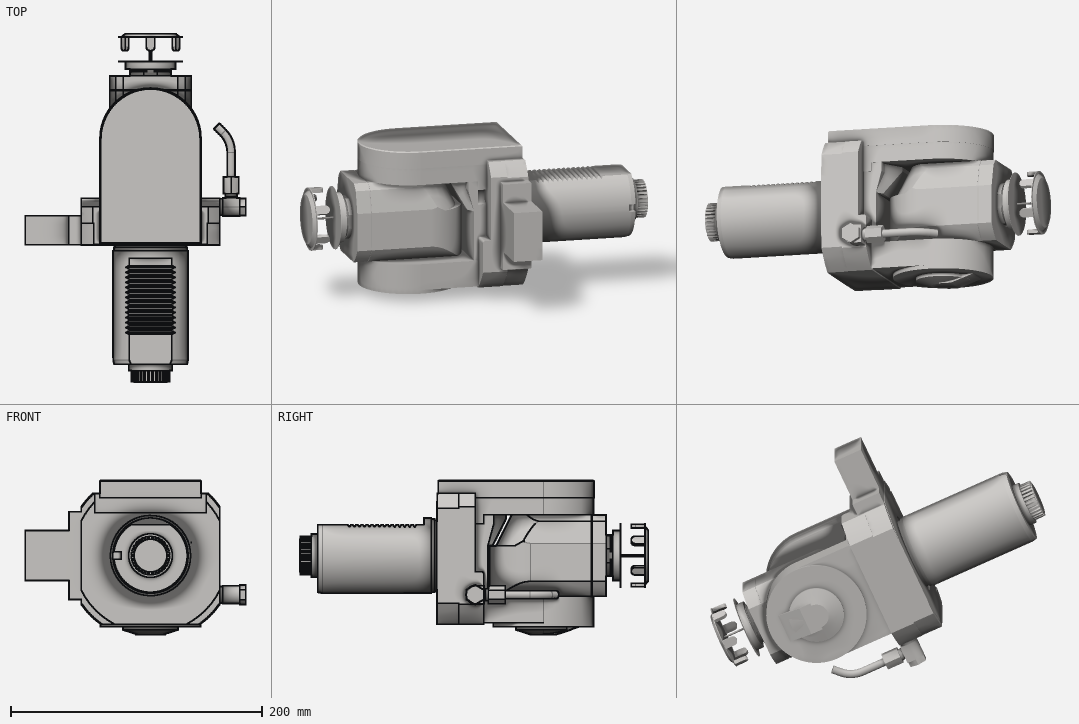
import cadquery as cq
import math


SHANK_D = 60.0
NECK_D = 58.6
NECK_L = 4.2
SEAL_GROOVE_D = 56.7
SEAL_GROOVE_L = 1.7
SHANK_L = 94.8
SHANK_CHAMFER_L = 3.5
SHANK_CHAMFER_R = 0.8
RACK_FLAT_Z = 24.7
RACK_FLAT_START = 10.3
GROOVE_COUNT = 14
GROOVE_START = 17.5
GROOVE_SPAN = 52.0
GROOVE_PITCH = GROOVE_SPAN / (GROOVE_COUNT - 1)
GROOVE_W = 2.8
GROOVE_DEPTH = 2.0
NOTCH_W = 6.0
NOTCH_DEPTH = 6.7
NOTCH_L = 5.5
HUB_D = 34.7
HUB_L = 5.0
SPLINE_D = 30.5
SPLINE_L = 9.5
SPLINE_COUNT = 30
SPLINE_CORE_D = 26.0
SPLINE_TOOTH_W = 1.7
SPLINE_END_GAP = 0.5

FLANGE_X = 55.3
FLANGE_TOP = 49.5
FLANGE_BOTTOM = -54.7
FLANGE_T = 30.8
LEDGE_T = 37.5
LEDGE_TOP = -12.8
LEDGE_FILLET = 2.0
CORNER_R = 67.5
CORNER_STEP = 0.5
CORNER_STEP_Y = 17.5
RIM_R = 61.7
RIM_RELIEF = 0.3
SEAT_D = 64.0
SEAT_DEPTH = 1.5

BAR_FRONT = 0.3
BAR_BACK = 23.5
BAR_END_X = -99.8
BAR_H = 40.0
PLATE_X = -65.0
PLATE_H = 70.0

PIVOT_Y = 85.0
YOKE_R = 40.0
COVER_R = 40.3
COVER_FRONT = 1.0
COVER_TOP = 60.0
COVER_BOTTOM = 46.0
COVER_CHAMFER = 0.8
FOOT_W = 89.0
FOOT_BOTTOM = 34.2
FOOT_RECESS = 0.8
WALL_W = 79.0
WALL_Y = 40.9
WALL_LIP_Y = 45.5
WALL_LIP_Z = 25.5
WEDGE_Y = 55.3
WEDGE_LIP_Z = 29.2
WEDGE_TIP_W = 27.8
WEDGE_BOTTOM = 8.0
WEDGE_BOTTOM_Y = 44.7
CHANNEL_D = 12.0
CHANNEL_Z = 19.5
LOWER_BLOCK_BOTTOM = -53.5
LOWER_DISC_BOTTOM = -56.7
LENS_R = 22.0
LENS_RIM_T = 2.5
LENS_FLAT_R = 9.7
LENS_BOTTOM = -63.0
RAMP_END_Y = 113.5
RAMP_W = 23.3

HEAD_HALF = 32.5
HEAD_BACK = 135.0
NOSE_CENTRE_OFFSET = 10.5
NOSE_Y = PIVOT_Y - NOSE_CENTRE_OFFSET
HEAD_CORNER_X = 20.5
FACET_TOP_X = 21.7
FACET_MID = 27.5
FACET_LOW_Z = 10.0
JOINT_Y = 123.0
JOINT_W = 0.8
JOINT_DEPTH = 0.3
CONE_LEDGE_Z = 7.8
CONE_LEDGE_Y = 47.2
CONE_TOP_Y = 59.8

NUT_NECK_D = 34.7
NUT_NECK_L = 5.3
NUT_D = 40.0
NUT_L = 5.8
NUT_SLOT_COUNT = 4
NUT_SLOT_W = 11.0
NUT_SLOT_FLOOR = 15.8
NUT_GROOVE_D = 32.2
NUT_GROOVE_START = 138.0
NUT_GROOVE_L = 1.5
DISC_D = 50.5
DISC_T = 0.3
CAP_END = 168.7
CAP_T = 3.0
CAP_END_D = 40.0
CAP_D = 47.2
CAP_RIM_T = 0.5
PRONG_COUNT = 6
PRONG_W = 7.0
PRONG_INNER_R = 22.0
PRONG_OUTER_R = 25.0
PRONG_TIP = 154.8
TIE_ROD_D = 1.7

FITTING_Y = 30.5
FITTING_Z = -31.0
FITTING_D = 14.5
FITTING_COLLAR_D = 13.3
FITTING_ROOT = 2.8
FITTING_COLLAR_END = 57.5
FITTING_BODY_END = 71.1
FITTING_END = 76.0
FITTING_HEX = 13.5
NOZZLE_X = 64.2
NOZZLE_NECK_D = 8.3
NOZZLE_COLLAR_D = 9.7
NOZZLE_COLLAR_START = 39.0
NOZZLE_NUT_START = 41.0
NOZZLE_NUT_END = 54.5
NOZZLE_HEX = 12.2
PIPE_D = 6.5
PIPE_BEND_START = 74.2
PIPE_BEND_R = 22.2
PIPE_BEND_ANGLE = 45.0
PIPE_TIP_L = 7.2


def block(x0, x1, y0, y1, z0, z1):
    """Box given by its limits along each axis."""
    return cq.Workplane("XY").box(x1 - x0, y1 - y0, z1 - z0, centered=False).translate((x0, y0, z0))


def rod(diameter, y0, y1, x=0, z=0):
    """Cylinder along Y from y0 to y1."""
    plane = cq.Plane(origin=(x, y0, z), xDir=(1, 0, 0), normal=(0, 1, 0))
    return cq.Workplane(plane).circle(diameter / 2).extrude(y1 - y0)


def tongue(radius, y0, y_centre, z0, z1):
    """Plate with a half-round +Y end, centred on X = 0."""
    return (
        cq.Workplane("XY", origin=(0, 0, z0))
        .moveTo(-radius, y0)
        .lineTo(radius, y0)
        .lineTo(radius, y_centre)
        .threePointArc((0, y_centre + radius), (-radius, y_centre))
        .close()
        .extrude(z1 - z0)
    )


def side_profile(points, width):
    """Prism of a (Y, Z) outline, centred on X = 0."""
    return cq.Workplane("YZ").polyline(points).close().extrude(width / 2, both=True)


def make_shank():
    shank = rod(SEAL_GROOVE_D, SEAT_DEPTH, -SEAL_GROOVE_L)
    shank = shank.union(rod(NECK_D, -SEAL_GROOVE_L, -NECK_L))
    chamfer_start = SHANK_L - SHANK_CHAMFER_L
    radius = SHANK_D / 2
    body = (
        cq.Workplane("XY")
        .polyline([
            (0, -NECK_L), (radius, -NECK_L), (radius, -chamfer_start),
            (radius - SHANK_CHAMFER_R, -SHANK_L), (0, -SHANK_L),
        ])
        .close()
        .revolve(360, (0, 0, 0), (0, 1, 0))
    )
    body = body.cut(block(-radius, radius, -SHANK_L, -RACK_FLAT_START, RACK_FLAT_Z, radius))
    for i in range(GROOVE_COUNT):
        y = -GROOVE_START - i * GROOVE_PITCH
        body = body.cut(side_profile([
            (y - GROOVE_W / 2, RACK_FLAT_Z),
            (y + GROOVE_W / 2, RACK_FLAT_Z),
            (y, RACK_FLAT_Z - GROOVE_DEPTH),
        ], SHANK_D))
    body = body.cut(block(
        -radius, -radius + NOTCH_DEPTH, -SHANK_L, -SHANK_L + NOTCH_L, -NOTCH_W / 2, NOTCH_W / 2))
    return shank.union(body)


def make_spline():
    hub_end = -SHANK_L - HUB_L
    end = hub_end - SPLINE_L
    spline = rod(SPLINE_CORE_D, hub_end, end)
    tooth = block(
        -SPLINE_TOOTH_W / 2, SPLINE_TOOTH_W / 2, end + SPLINE_END_GAP, hub_end, 0, SPLINE_D / 2)
    for i in range(SPLINE_COUNT):
        spline = spline.union(tooth.rotate((0, 0, 0), (0, 1, 0), 360 * i / SPLINE_COUNT))
    return rod(HUB_D, -SHANK_L, hub_end).union(spline)


def make_flange():
    flange = side_profile([
        (0, FLANGE_BOTTOM), (LEDGE_T, FLANGE_BOTTOM), (LEDGE_T, LEDGE_TOP),
        (FLANGE_T, LEDGE_TOP), (FLANGE_T, FLANGE_TOP), (0, FLANGE_TOP),
    ], 2 * FLANGE_X)
    ledge_edge = cq.selectors.NearestToPointSelector((0, LEDGE_T, LEDGE_TOP))
    flange = flange.edges(ledge_edge).fillet(LEDGE_FILLET)
    corners = rod(2 * RIM_R, 0, RIM_RELIEF)
    corners = corners.union(rod(2 * (CORNER_R - CORNER_STEP), RIM_RELIEF, CORNER_STEP_Y))
    corners = corners.union(rod(2 * CORNER_R, CORNER_STEP_Y, LEDGE_T))
    flange = flange.intersect(corners)
    foot_recess = block(-FOOT_W / 2, FOOT_W / 2, 0, FOOT_RECESS, FOOT_BOTTOM, FLANGE_TOP)
    cover_seat = block(-COVER_R, COVER_R, 0, COVER_FRONT, COVER_BOTTOM, FLANGE_TOP)
    return flange.cut(foot_recess).cut(cover_seat).cut(rod(SEAT_D, 0, SEAT_DEPTH))


def make_locating_bar():
    plate = block(PLATE_X, -FLANGE_X, BAR_FRONT, BAR_BACK, -PLATE_H / 2, PLATE_H / 2)
    bar = block(BAR_END_X, PLATE_X, BAR_FRONT, BAR_BACK, -BAR_H / 2, BAR_H / 2)
    return plate.union(bar)


def make_yoke():
    cover = tongue(COVER_R, COVER_FRONT, PIVOT_Y, COVER_BOTTOM, COVER_TOP)
    cover = cover.faces(">Z").edges().chamfer(COVER_CHAMFER)
    upper_arm = tongue(YOKE_R, FOOT_RECESS, PIVOT_Y, HEAD_HALF, COVER_BOTTOM)
    wall = side_profile([
        (FLANGE_T, -HEAD_HALF), (WALL_Y, -HEAD_HALF), (WALL_Y, WEDGE_BOTTOM),
        (WALL_LIP_Y, WALL_LIP_Z), (WALL_LIP_Y, HEAD_HALF), (FLANGE_T, HEAD_HALF),
    ], WALL_W)
    channel = rod(CHANNEL_D, FLANGE_T, LEDGE_T, -WALL_W / 2, CHANNEL_Z)
    channel_top = CHANNEL_Z + CHANNEL_D / 2
    shoulder = block(-YOKE_R, YOKE_R, FLANGE_T, LEDGE_T, channel_top, HEAD_HALF)
    wedge = side_profile([
        (WALL_Y, WEDGE_BOTTOM), (WEDGE_BOTTOM_Y, WEDGE_BOTTOM), (WEDGE_Y, WEDGE_LIP_Z),
        (WEDGE_Y, HEAD_HALF), (WALL_Y, HEAD_HALF),
    ], WALL_W)
    wedge_plan = (
        cq.Workplane("XY")
        .polyline([
            (-WALL_W / 2, WALL_Y), (WALL_W / 2, WALL_Y),
            (WEDGE_TIP_W / 2, WEDGE_Y), (-WEDGE_TIP_W / 2, WEDGE_Y),
        ])
        .close()
        .extrude(HEAD_HALF)
    )
    wedge = wedge.intersect(wedge_plan)
    lower_block = block(-YOKE_R, YOKE_R, FLANGE_T, PIVOT_Y, LOWER_BLOCK_BOTTOM, -HEAD_HALF)
    lower_disc = (
        cq.Workplane("XY", origin=(0, PIVOT_Y, LOWER_DISC_BOTTOM))
        .circle(YOKE_R)
        .extrude(-HEAD_HALF - LOWER_DISC_BOTTOM)
    )
    yoke = cover.union(upper_arm).union(wall.cut(channel)).union(shoulder).union(wedge)
    return yoke.union(lower_block).union(lower_disc).union(make_pivot_lens())


def make_pivot_lens():
    rim_bottom = LOWER_DISC_BOTTOM - LENS_RIM_T
    lens = (
        cq.Workplane("XZ")
        .polyline([
            (0, LOWER_DISC_BOTTOM), (LENS_R, LOWER_DISC_BOTTOM), (LENS_R, rim_bottom),
            (LENS_FLAT_R, LENS_BOTTOM), (0, LENS_BOTTOM),
        ])
        .close()
        .revolve(360, (0, 0, 0), (0, 1, 0))
        .translate((0, PIVOT_Y, 0))
    )
    ramp = side_profile([
        (PIVOT_Y, LOWER_DISC_BOTTOM), (RAMP_END_Y, LOWER_DISC_BOTTOM),
        (PIVOT_Y + LENS_FLAT_R, LENS_BOTTOM), (PIVOT_Y, LENS_BOTTOM),
    ], RAMP_W)
    return lens.union(ramp)


def head_section(inset, y0, y1):
    """Head cross-section: two facets at each upper corner, lower corners turned about the Y axis."""
    half = HEAD_HALF - inset
    top_x = FACET_TOP_X - inset
    mid = FACET_MID - inset
    corner_x = HEAD_CORNER_X - inset
    corner_mid = math.hypot(half, corner_x) * math.sqrt(0.5)
    plane = cq.Plane(origin=(0, y1, 0), xDir=(1, 0, 0), normal=(0, -1, 0))
    return (
        cq.Workplane(plane)
        .moveTo(-corner_x, -half)
        .lineTo(corner_x, -half)
        .threePointArc((corner_mid, -corner_mid), (half, -corner_x))
        .lineTo(half, FACET_LOW_Z)
        .lineTo(mid, mid)
        .lineTo(top_x, half)
        .lineTo(-top_x, half)
        .lineTo(-mid, mid)
        .lineTo(-half, FACET_LOW_Z)
        .lineTo(-half, -corner_x)
        .threePointArc((-corner_mid, -corner_mid), (-corner_x, -half))
        .close()
        .extrude(y1 - y0)
    )


def make_head():
    front = NOSE_Y - HEAD_HALF
    head = head_section(0, front, JOINT_Y)
    head = head.union(head_section(JOINT_DEPTH, JOINT_Y, JOINT_Y + JOINT_W))
    head = head.union(head_section(0, JOINT_Y + JOINT_W, HEAD_BACK))
    nose_plan = tongue(HEAD_HALF, -HEAD_BACK, -NOSE_Y, -HEAD_HALF, HEAD_HALF).mirror("XZ")
    head = head.intersect(nose_plan)
    ledge_r = PIVOT_Y - CONE_LEDGE_Y
    top_r = PIVOT_Y - CONE_TOP_Y
    cone = (
        cq.Workplane("XZ")
        .polyline([(0, CONE_LEDGE_Z), (ledge_r, CONE_LEDGE_Z), (top_r, HEAD_HALF), (0, HEAD_HALF)])
        .close()
        .revolve(360, (0, 0, 0), (0, 1, 0))
        .translate((0, PIVOT_Y, 0))
    )
    nose_top = block(-HEAD_HALF, HEAD_HALF, front, PIVOT_Y, CONE_LEDGE_Z, HEAD_HALF)
    return head.cut(nose_top.cut(cone))


def make_nut():
    neck_end = HEAD_BACK + NUT_NECK_L
    nut_end = neck_end + NUT_L
    groove_end = NUT_GROOVE_START + NUT_GROOVE_L
    neck = rod(NUT_NECK_D, HEAD_BACK, NUT_GROOVE_START)
    neck = neck.union(rod(NUT_GROOVE_D, NUT_GROOVE_START, groove_end))
    neck = neck.union(rod(NUT_NECK_D, groove_end, neck_end))
    slot = block(-NUT_SLOT_W / 2, NUT_SLOT_W / 2, HEAD_BACK, neck_end, NUT_SLOT_FLOOR, NUT_NECK_D)
    for i in range(NUT_SLOT_COUNT):
        neck = neck.cut(slot.rotate((0, 0, 0), (0, 1, 0), 360 * i / NUT_SLOT_COUNT))
    nut = neck.union(rod(NUT_D, neck_end, nut_end))
    nut = nut.union(rod(DISC_D, nut_end, nut_end + DISC_T))
    return nut.union(rod(TIE_ROD_D, nut_end, CAP_END))


def make_cap():
    plate_front = CAP_END - CAP_T
    cap = (
        cq.Workplane("XY")
        .polyline([
            (0, plate_front), (CAP_D / 2, plate_front), (CAP_END_D / 2, CAP_END), (0, CAP_END),
        ])
        .close()
        .revolve(360, (0, 0, 0), (0, 1, 0))
    )
    cap = cap.union(rod(DISC_D, plate_front, plate_front + CAP_RIM_T))
    half = PRONG_W / 2
    prong = (
        cq.Workplane("XY", origin=(0, 0, PRONG_INNER_R))
        .moveTo(-half, plate_front + CAP_RIM_T)
        .lineTo(-half, PRONG_TIP + half)
        .threePointArc((0, PRONG_TIP), (half, PRONG_TIP + half))
        .lineTo(half, plate_front + CAP_RIM_T)
        .close()
        .extrude(PRONG_OUTER_R - PRONG_INNER_R)
    )
    for i in range(PRONG_COUNT):
        cap = cap.union(prong.rotate((0, 0, 0), (0, 1, 0), 360 * i / PRONG_COUNT))
    return cap


def upright_hex(plane, across_flats, length):
    """Hexagonal prism along the plane normal, with two corners along the local Y axis."""
    corner_d = across_flats / math.cos(math.pi / 6)
    return (
        cq.Workplane(plane)
        .transformed(rotate=(0, 0, 90))
        .polygon(6, corner_d)
        .extrude(length)
    )


def make_coolant_fitting():
    def plane_at(x0):
        return cq.Plane(origin=(x0, FITTING_Y, FITTING_Z), xDir=(0, 1, 0), normal=(1, 0, 0))

    collar_start = FLANGE_X - FITTING_ROOT
    collar = cq.Workplane(plane_at(collar_start)).circle(FITTING_COLLAR_D / 2)
    collar = collar.extrude(FITTING_COLLAR_END - collar_start)
    body = cq.Workplane(plane_at(FITTING_COLLAR_END)).circle(FITTING_D / 2)
    body = body.extrude(FITTING_BODY_END - FITTING_COLLAR_END)
    half = FITTING_D / 2
    square_half = block(
        FITTING_COLLAR_END, FITTING_BODY_END, FITTING_Y, FITTING_Y + half,
        FITTING_Z - half, FITTING_Z + half)
    head = upright_hex(plane_at(FITTING_BODY_END), FITTING_HEX, FITTING_END - FITTING_BODY_END)
    return collar.union(body).union(square_half).union(head).union(make_nozzle())


def make_nozzle():
    def nozzle_rod(diameter, y0, y1):
        return rod(diameter, y0, y1, NOZZLE_X, FITTING_Z)

    nozzle = nozzle_rod(NOZZLE_NECK_D, FITTING_Y, NOZZLE_COLLAR_START)
    nozzle = nozzle.union(nozzle_rod(NOZZLE_COLLAR_D, NOZZLE_COLLAR_START, NOZZLE_NUT_START))
    nut_plane = cq.Plane(
        origin=(NOZZLE_X, NOZZLE_NUT_START, FITTING_Z), xDir=(1, 0, 0), normal=(0, 1, 0))
    nut = upright_hex(nut_plane, NOZZLE_HEX, NOZZLE_NUT_END - NOZZLE_NUT_START)
    angle = math.radians(PIPE_BEND_ANGLE)
    bend_centre_x = NOZZLE_X - PIPE_BEND_R

    def on_bend(turn):
        x = bend_centre_x + PIPE_BEND_R * math.cos(turn)
        return x, PIPE_BEND_START + PIPE_BEND_R * math.sin(turn)

    bend_end = on_bend(angle)
    tip = (
        bend_end[0] - PIPE_TIP_L * math.sin(angle),
        bend_end[1] + PIPE_TIP_L * math.cos(angle),
    )
    path = (
        cq.Workplane("XY", origin=(0, 0, FITTING_Z))
        .moveTo(NOZZLE_X, NOZZLE_NUT_END)
        .lineTo(NOZZLE_X, PIPE_BEND_START)
        .threePointArc(on_bend(angle / 2), bend_end)
        .lineTo(*tip)
    )
    pipe_plane = cq.Plane(
        origin=(NOZZLE_X, NOZZLE_NUT_END, FITTING_Z), xDir=(1, 0, 0), normal=(0, 1, 0))
    pipe = cq.Workplane(pipe_plane).circle(PIPE_D / 2).sweep(path)
    return nozzle.union(nut).union(pipe)


result = make_flange()
for feature in (
    make_shank(), make_spline(), make_locating_bar(), make_yoke(), make_head(),
    make_nut(), make_cap(), make_coolant_fitting(),
):
    result = result.union(feature)